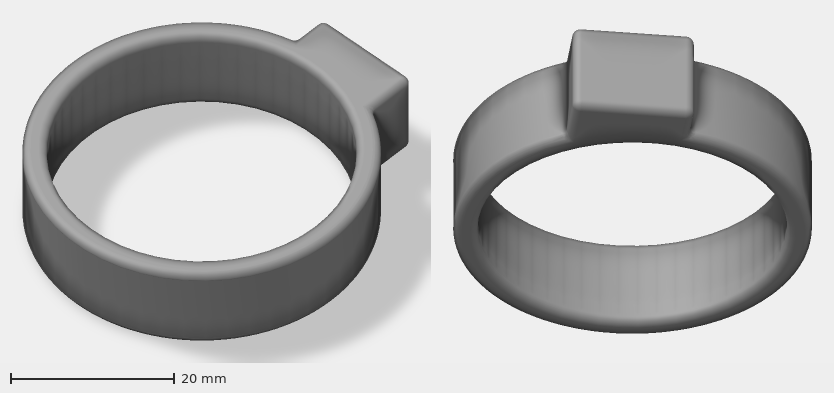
import math

import cadquery as cq

BORE_DIAMETER = 38.0
WALL = 3.0
HEIGHT = 12.0
OUTER_RADIUS = BORE_DIAMETER / 2 + WALL

EDGE_RADIUS = 1.0

OVERALL_LENGTH = 50.0
BLOCK_WIDTH = 15.0
BLOCK_SHIFT = 3.0
BLOCK_ANGLE = 27.0

TURN = math.radians(BLOCK_ANGLE)
CORNER_X = BLOCK_SHIFT + BLOCK_WIDTH / 2 - EDGE_RADIUS
CORNER_TOP = OVERALL_LENGTH - OUTER_RADIUS - EDGE_RADIUS
BLOCK_REACH = (CORNER_TOP - CORNER_X * math.sin(TURN)) / math.cos(TURN) + EDGE_RADIUS


def make_sharp_body():
    """Solid disc with the block joined to it, before any rounding."""
    disc = cq.Workplane("XY").circle(OUTER_RADIUS).extrude(HEIGHT)
    block = (
        cq.Workplane("XY")
        .center(BLOCK_SHIFT, BLOCK_REACH / 2)
        .rect(BLOCK_WIDTH, BLOCK_REACH)
        .extrude(HEIGHT)
    )
    return disc.union(block)


def round_outside(body):
    """Round the outer corners of the block and the outline of both end faces."""
    outer_corners = body.faces(">Y").edges("|Z")
    end_outlines = body.faces("<Z or >Z").edges()
    return outer_corners.add(end_outlines).fillet(EDGE_RADIUS)


def round_block_roots(body):
    """Round the two inside corners where the block's sides meet the ring."""
    for side in ("<X", ">X"):
        block_side = body.faces("|X").faces(side)
        body = block_side.edges("|Z").edges("<Y").fillet(EDGE_RADIUS)
    return body


def cut_bore(body):
    """Cut the bore through the ring and round both of its rims."""
    bore = cq.Workplane("XY").circle(BORE_DIAMETER / 2).extrude(HEIGHT)
    bored = body.cut(bore)
    bore_rims = bored.faces("<Z or >Z").edges(cq.selectors.RadiusNthSelector(0))
    return bore_rims.fillet(EDGE_RADIUS)


def make_ring():
    """Ring with its block, turned into place."""
    body = make_sharp_body()
    body = round_outside(body)
    body = round_block_roots(body)
    body = cut_bore(body)
    return body.rotate((0, 0, 0), (0, 0, 1), BLOCK_ANGLE)


ring = make_ring()

result = cq.Compound.makeCompound([ring.val()])